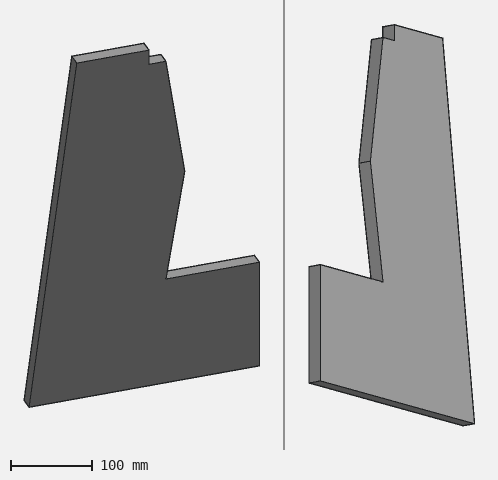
import cadquery as cq

thickness = 18.26
depth = 299.44
height = 472.5

foot_height = 146.0
foot_length = 121.5

front_setback = 62.0
bow_depth = 24.5
bow_height = 293.0

notch_width = 22.0
notch_height = 20.0

upright_rear_y = depth - foot_length
bow_y = upright_rear_y + bow_depth
notch_y = upright_rear_y - notch_width
notch_z = height - notch_height

profile = [
    (0, 0),
    (depth, 0),
    (depth, foot_height),
    (upright_rear_y, foot_height),
    (bow_y, bow_height),
    (upright_rear_y, notch_z),
    (notch_y, notch_z),
    (notch_y, height),
    (front_setback, height),
]

result = cq.Workplane("YZ").polyline(profile).close().extrude(thickness)